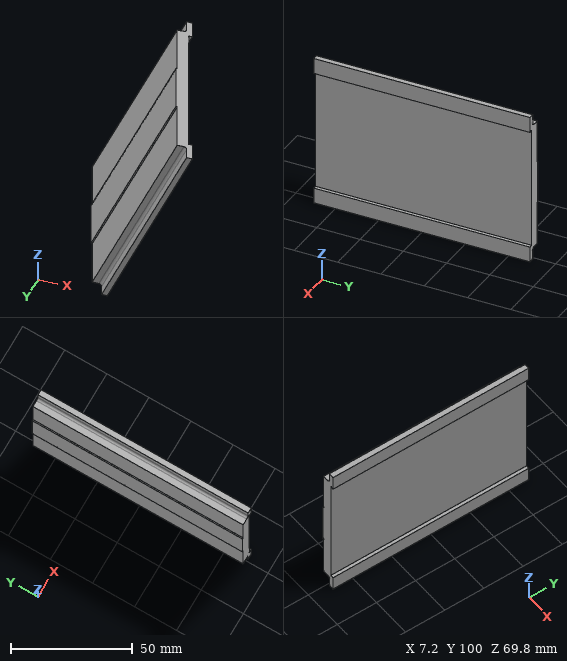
import cadquery as cq

length = 100.0
height = 69.8
thickness = 7.2

center_band_height = 20.0
center_band_relief = 0.5
body_height = 59.2
flange_thickness = 2.6
center_band_bevel = 0.3
corner_radius = 1.2
lip_height = 7.2
lip_depth = 1.6

front_x = -thickness / 2
back_x = thickness / 2
side_band_x = front_x + center_band_relief
flange_x = back_x - flange_thickness
recess_x = back_x - lip_depth
top_z = height / 2
body_top_z = body_height / 2
lip_inner_z = top_z - lip_height
band_top_z = center_band_height / 2


def half_panel():
    """Upper half of the extruded panel, cut at its horizontal symmetry plane."""
    profile = (
        cq.Workplane("XZ", origin=(0, length / 2, 0))
        .moveTo(front_x, 0)
        .lineTo(front_x, band_top_z - center_band_bevel)
        .lineTo(side_band_x, band_top_z)
        .lineTo(side_band_x, body_top_z)
        .lineTo(flange_x - corner_radius, body_top_z)
        .radiusArc((flange_x, body_top_z + corner_radius), -corner_radius)
        .lineTo(flange_x, top_z)
        .lineTo(back_x, top_z)
        .lineTo(back_x, lip_inner_z)
        .lineTo(recess_x, lip_inner_z)
        .lineTo(recess_x, 0)
        .close()
    )
    return profile.extrude(length)


upper_half = half_panel()
lower_half = upper_half.mirror("XY")
result = upper_half.union(lower_half).clean()